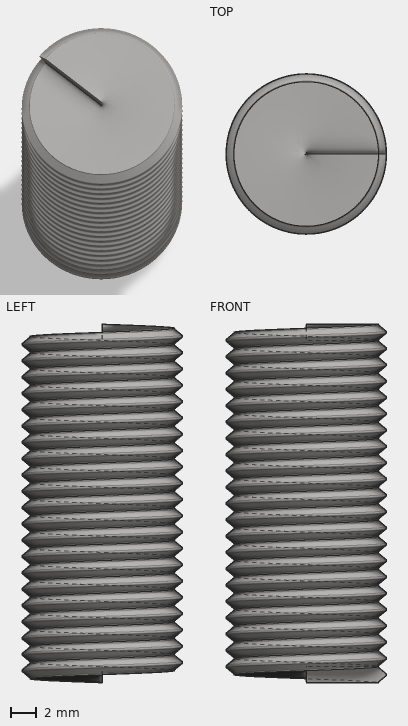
import cadquery as cq
import math

pitch = 1.27
turns = 21
crest_radius = 6.25
root_radius = 5.63
round_radius = 0.13
sewing_tolerance = 0.001

half_pitch = pitch / 2
round_diameter = 2 * round_radius
centre_offset = crest_radius - root_radius - round_diameter
flank_angle = (
    math.acos(round_diameter / math.hypot(half_pitch, centre_offset))
    - math.atan2(centre_offset, half_pitch)
)


def profile_wire(base):
    """Half root, flank, crest, flank and half root of one pitch, in the XZ plane."""
    bottom = base
    middle = base + half_pitch
    top = base + pitch
    root_centre = root_radius + round_radius
    crest_centre = crest_radius - round_radius
    tangent_depth = round_radius * math.sin(flank_angle)
    tangent_height = round_radius * math.cos(flank_angle)
    root_edge = root_centre - tangent_depth
    crest_edge = crest_centre + tangent_depth
    arc_middle_angle = (flank_angle + math.pi / 2) / 2
    root_arc_middle = root_centre - round_radius * math.sin(arc_middle_angle)
    arc_middle_height = round_radius * math.cos(arc_middle_angle)
    outline = (
        cq.Workplane("XZ")
        .moveTo(root_radius, bottom)
        .threePointArc((root_arc_middle, bottom + arc_middle_height), (root_edge, bottom + tangent_height))
        .lineTo(crest_edge, middle - tangent_height)
        .threePointArc((crest_radius, middle), (crest_edge, middle + tangent_height))
        .lineTo(root_edge, top - tangent_height)
        .threePointArc((root_arc_middle, top - arc_middle_height), (root_radius, top))
    )
    return outline.wire().val()


def axis_edge(base):
    """Length of the Z axis covered by one pitch."""
    return cq.Edge.makeLine(cq.Vector(0, 0, base), cq.Vector(0, 0, base + pitch))


def root_helix(base):
    """One turn of the root helix, starting above the +X axis."""
    return cq.Wire.makeHelix(pitch, pitch, root_radius, cq.Vector(0, 0, base)).Edges()[0]


def thread_turn(base):
    """Outer faces of one turn: the profile moved along the axis and turned by the root helix."""
    return cq.occ_impl.shapes.sweep(profile_wire(base), axis_edge(base), root_helix(base)).Faces()


def end_ramp(base):
    """Spiral ramp rising one pitch in one turn, from the axis out to the root."""
    return cq.Face.makeRuledSurface(axis_edge(base), root_helix(base))


def end_step(base):
    """Flat step in the XZ plane, bounded by the axis and the thread profile."""
    bottom_edge = cq.Edge.makeLine(cq.Vector(0, 0, base), cq.Vector(root_radius, 0, base))
    top_edge = bottom_edge.translate(cq.Vector(0, 0, pitch))
    boundary = [bottom_edge, *profile_wire(base).Edges(), top_edge, axis_edge(base)]
    return cq.Face.makeFromWires(cq.Wire.assembleEdges(boundary))


faces = []
for turn in range(turns):
    faces += thread_turn(turn * pitch)
for end_base in (0, turns * pitch):
    faces.append(end_ramp(end_base))
    faces.append(end_step(end_base))

result = cq.Workplane(obj=cq.occ_impl.shapes.solid(*faces, tol=sewing_tolerance))